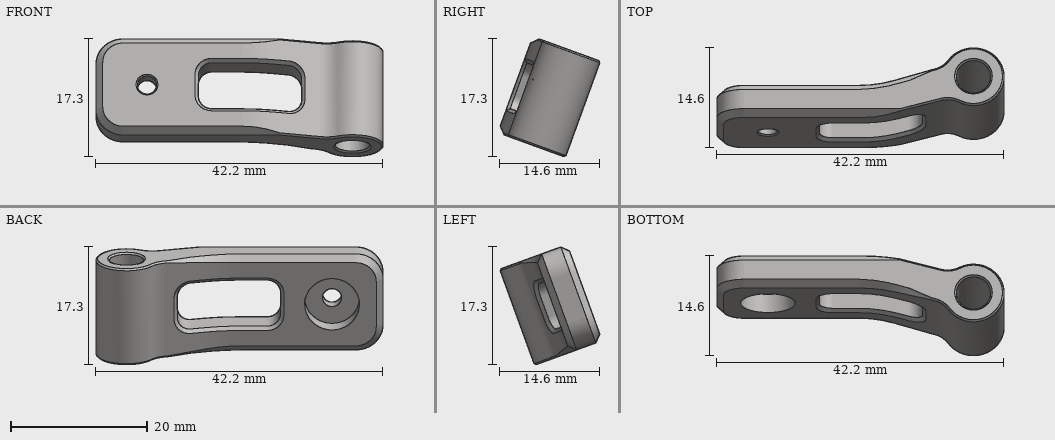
import cadquery as cq
import math

lean_angle = 20

length = 42.2
height = 15.0
thickness = 5.0
corner_radius = 4.0
plate_chamfer = 1.0

front_bend_start = 21.45
rear_bend_start = 20.9
bend_radius = 20.0
bend_angle = 15
neck_fillet = 3.65

barrel_radius = 4.5
barrel_x = length - barrel_radius
barrel_y = 6.07
bore_diameter = 5.0
small_chamfer = 0.25

window_left = 15.05
window_right = 30.2
window_height = 7.15
window_radius = 2.0
window_chamfer = 0.5
hole_x = 7.5
hole_diameter = 2.8
hole_chamfer = 0.2
counterbore_diameter = 8
counterbore_floor = 2.2

bevel_fade_x = 28.1
bevel_fade_depth = 0.85
bevel_end_x = 31.42
bevel_stations = 4

slope = math.tan(math.radians(bend_angle))
overlap = 0.42
deep_reach = 3 * thickness
margin = 0.05


def bend_point(start_x, start_y, angle):
    """Point on a neck bend that leaves the plate at the start, after turning by the angle in degrees."""
    turn = math.radians(angle)
    return (start_x + bend_radius * math.sin(turn), start_y + bend_radius * (1 - math.cos(turn)))


def front_bend(angle):
    return bend_point(front_bend_start, 0, angle)


def rear_bend(angle):
    return bend_point(rear_bend_start, thickness, angle)


def along_slope(start, x):
    """Point at the given x on the straight neck line that leaves from start."""
    return (x, start[1] + slope * (x - start[0]))


bevel_end = along_slope(rear_bend(bend_angle), bevel_end_x)


def make_plate():
    """Slab rounded at its free end, with the front and rear rims chamfered."""
    slab = cq.Workplane("XY").box(rear_bend_start, thickness, height, centered=(False, False, True))
    slab = slab.edges("<X and |Y").fillet(corner_radius)
    rims = slab.faces("<Y or >Y").edges("not >X")
    return rims.chamfer(plate_chamfer)


def make_neck():
    """Bent strip and barrel, blended together, with the edges bevelled."""
    front_end = front_bend(bend_angle)
    rear_end = rear_bend(bend_angle)
    strip = (
        cq.Workplane("XY", origin=(0, 0, -height / 2))
        .moveTo(rear_bend_start, 0)
        .lineTo(front_bend_start, 0)
        .threePointArc(front_bend(bend_angle / 2), front_end)
        .lineTo(*along_slope(front_end, barrel_x))
        .lineTo(*along_slope(rear_end, barrel_x))
        .lineTo(*rear_end)
        .threePointArc(rear_bend(bend_angle / 2), (rear_bend_start, thickness))
        .close()
        .extrude(height)
    )
    barrel = (
        cq.Workplane("XY", origin=(barrel_x, barrel_y, -height / 2))
        .circle(barrel_radius)
        .extrude(height)
    )
    neck = strip.union(barrel)
    corner_zone = cq.selectors.BoxSelector(
        (bevel_end_x, -overlap, -height), (barrel_x - small_chamfer, deep_reach, height)
    )
    neck = neck.edges("|Z").edges(corner_zone).fillet(neck_fillet)
    neck = neck.faces("<Z or >Z").edges("not <X").chamfer(small_chamfer)
    neck = neck.intersect(make_front_envelope())
    for side in (1, -1):
        for wedge in make_rear_bevel(side):
            neck = neck.cut(wedge)
    return neck


def make_front_envelope():
    """Long bar whose front edges carry the plate chamfer straight on along X."""
    bar = cq.Workplane("XY").box(length + overlap, deep_reach, height, centered=(False, False, True))
    return bar.faces("<Y").edges("|X").chamfer(plate_chamfer)


def bevel_section(point, turn, depth, side):
    """Triangle across the rear edge; depth is cut into the side face, the drop follows the neck's rise."""
    x, y = point
    rise_left = (bevel_end[1] - y) / (bevel_end[1] - thickness)
    drop = small_chamfer + (plate_chamfer - small_chamfer) * rise_left
    angle = math.radians(turn)
    section = cq.Plane(
        origin=(x, y, side * height / 2),
        xDir=(-math.sin(angle), math.cos(angle), 0),
        normal=(math.cos(angle), math.sin(angle), 0),
    )
    deep = (-depth * (1 + overlap / drop), side * overlap)
    low = (overlap, -side * drop * (1 + overlap / depth))
    corner = (overlap, side * overlap)
    return cq.Workplane(section).polyline([deep, low, corner]).close().val()


def make_rear_bevel(side):
    """Two wedges along the rear edge of the neck; side is 1 at the top, -1 at the bottom."""
    bend_run = [bend_angle * i / bevel_stations for i in range(bevel_stations + 1)]
    sections = []
    for turn in bend_run:
        point = rear_bend(turn)
        done = (point[0] - rear_bend_start) / (bevel_fade_x - rear_bend_start)
        depth = plate_chamfer + (bevel_fade_depth - plate_chamfer) * done
        sections.append(bevel_section(point, turn, depth, side))
    fade = bevel_section(along_slope(rear_bend(bend_angle), bevel_fade_x), bend_angle, bevel_fade_depth, side)
    end = bevel_section(bevel_end, bend_angle, small_chamfer, side)
    return [
        cq.Workplane(cq.Solid.makeLoft(sections + [fade])),
        cq.Workplane(cq.Solid.makeLoft([fade, end], True)),
    ]


def cut_window(body):
    """Rounded opening from front to rear with both rims chamfered."""
    cutter = (
        cq.Workplane("XY", origin=(window_left, -overlap, 0))
        .box(window_right - window_left, deep_reach, window_height, centered=(False, False, True))
        .edges("|Y")
        .fillet(window_radius)
    )
    body = body.cut(cutter)
    rim_zone = cq.selectors.BoxSelector(
        (window_left - margin, -overlap, -window_height / 2 - margin),
        (window_right + margin, deep_reach, window_height / 2 + margin),
        boundingbox=True,
    )
    return body.edges(rim_zone).edges("not |Y").chamfer(window_chamfer)


def flared_hole(diameter, depth, chamfer):
    """Cutter along +Z from the origin: a straight hole widened by a chamfer at both mouths."""
    radius = diameter / 2
    return (
        cq.Workplane("XZ")
        .lineTo(radius + chamfer, 0)
        .lineTo(radius, chamfer)
        .lineTo(radius, depth - chamfer)
        .lineTo(radius + chamfer, depth)
        .lineTo(0, depth)
        .close()
        .revolve(360, (0, 0, 0), (0, 1, 0))
    )


bore = flared_hole(bore_diameter, height, small_chamfer).translate((barrel_x, barrel_y, -height / 2))
cross_hole = (
    flared_hole(hole_diameter, thickness, hole_chamfer)
    .union(
        cq.Workplane("XY", origin=(0, 0, counterbore_floor))
        .circle(counterbore_diameter / 2)
        .extrude(thickness - counterbore_floor)
    )
    .rotate((0, 0, 0), (1, 0, 0), -90)
    .translate((hole_x, 0, 0))
)

lever = cut_window(make_plate().union(make_neck()))
lever = lever.cut(bore).cut(cross_hole)
result = lever.rotate((0, 0, 0), (1, 0, 0), -lean_angle)